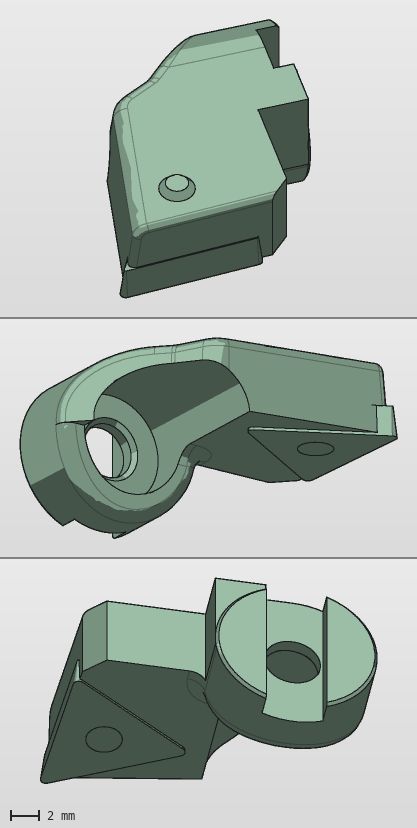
import cadquery as cq
import math


HUB_R = 5.7
BORE_R = 1.97
BORE_CHAMFER = 0.33
POCKET_R = 4.0
POCKET_FLOOR_Y = -2.9
BACK_CHAMFER = 0.2
SLOT_W = 4.26
SLOT_DEPTH = 1.65

LOWER_FRONT_Y = -5.63
LOWER_FRONT_ARC_R = 16.15
JUNCTION_ROUND = 1.25

ARM_TOP_Z = HUB_R
ARM_BACK_Y = -3.83
ARM_END_X = 14.08
ARM_END_LEAN = 2.9
ARM_CORNER_CUT = 1.45
DRAFT = 7.0
RIM_ROUND = 1.0
END_ROUND = 0.45

HUB_WALL_POINT = (-5.38, -5.42)
NECK_START = (-0.19, -10.65)
NECK_END = (1.43, -13.77)
ARM_WALL_ANGLE = 9.8
NECK_INNER_ROUND = 0.83
NECK_OUTER_ROUND = 2.07

INSERT_CENTER = (11.6, -11.35)
INSERT_INSCRIBED_R = 3.17
INSERT_CORNER_R = 0.4
INSERT_BOTTOM_Z = -0.23
INSERT_TOP_Z = 2.11
INSERT_RELIEF = 7.0
INSERT_TIP_ANGLE = -57.1

SCREW_CENTER = (11.4, -11.36)
SCREW_R = 1.26
SCREW_TIP_R = 0.8
SCREW_TIP_Z = 6.23

FAR = 24.85
OVERRUN = 0.2


def tan_deg(angle):
    return math.tan(math.radians(angle))


def nearest(x, y, z):
    """Selects the edge whose middle is closest to a point."""
    return cq.selectors.NearestToPointSelector((x, y, z))


def cylinder_y(radius, y_front, y_back):
    """Cylinder on the hub axis between two Y positions."""
    disc = cq.Workplane("XZ", origin=(0, y_back, 0)).circle(radius)
    return disc.extrude(y_back - y_front)


def box_between(low, high):
    """Axis-aligned box from its two opposite corners."""
    size = [b - a for a, b in zip(low, high)]
    return cq.Workplane("XY").box(*size, centered=False).translate(low)


def arm_plan():
    """Outline of the arm from above, running past the front walls that trim it later."""
    cut_y = ARM_BACK_Y - ARM_CORNER_CUT
    far_end_x = ARM_END_X + (cut_y + FAR) * tan_deg(ARM_END_LEAN)
    points = [
        (0, 0),
        (HUB_R, 0),
        (HUB_R, ARM_BACK_Y),
        (ARM_END_X - ARM_CORNER_CUT, ARM_BACK_Y),
        (ARM_END_X, cut_y),
        (far_end_x, -FAR),
        (0, -FAR),
    ]
    return cq.Workplane("XY").polyline(points).close()


def front_wall_mask():
    """Drafted solid whose front sides are the front walls of hub, neck and arm."""
    left_x = HUB_WALL_POINT[0] - FAR
    right_x = NECK_END[0] + FAR
    hub_slope = (NECK_START[1] - HUB_WALL_POINT[1]) / (NECK_START[0] - HUB_WALL_POINT[0])
    points = [
        (left_x, HUB_WALL_POINT[1] - hub_slope * FAR),
        NECK_START,
        NECK_END,
        (right_x, NECK_END[1] - FAR * tan_deg(ARM_WALL_ANGLE)),
        (right_x, 2 * FAR),
        (left_x, 2 * FAR),
    ]
    height = ARM_TOP_Z + OVERRUN
    base = cq.Workplane("XY").polyline(points).close()
    crown = base.offset2D(-height * tan_deg(DRAFT), "intersection")
    wires = [base.val(), crown.val().translate((0, 0, height))]
    mask = cq.Workplane(cq.Solid.makeLoft(wires, True))
    mask = mask.edges(nearest(*NECK_START, ARM_TOP_Z / 2)).fillet(NECK_INNER_ROUND)
    return mask.edges(nearest(*NECK_END, ARM_TOP_Z / 2)).fillet(NECK_OUTER_ROUND)


def upper_body():
    """Arm and upper left quarter of the hub, everything above Z = 0."""
    quarter = box_between((-HUB_R, -FAR, 0), (0, 0, HUB_R))
    upper = cylinder_y(HUB_R, -FAR, 0).intersect(quarter)
    upper = upper.union(arm_plan().extrude(ARM_TOP_Z)).intersect(front_wall_mask())

    wall_middle_x = (NECK_END[0] + ARM_END_X) / 2
    upper = upper.edges(nearest(wall_middle_x, NECK_END[1], ARM_TOP_Z)).fillet(RIM_ROUND)

    end_middle_y = (ARM_BACK_Y + NECK_END[1]) / 2
    return upper.edges(nearest(ARM_END_X, end_middle_y, ARM_TOP_Z)).fillet(END_ROUND)


def lower_body():
    """Half cylinder below Z = 0, its front face curving back towards the bottom."""
    below = box_between((-FAR, -FAR, -FAR), (FAR, FAR, 0))
    half = cylinder_y(HUB_R, -FAR, 0).intersect(below)
    front_arc = (
        cq.Workplane("YZ", origin=(-FAR, 0, 0))
        .center(LOWER_FRONT_Y + LOWER_FRONT_ARC_R, 0)
        .circle(LOWER_FRONT_ARC_R)
        .extrude(2 * FAR)
    )
    half = half.intersect(front_arc)
    return half.edges(nearest(0, LOWER_FRONT_Y, -HUB_R)).fillet(RIM_ROUND)


def junction_flare(lower):
    """Concave round where the lower half of the hub runs into the underside of the arm."""
    slab = box_between((-FAR, -FAR, 0), (FAR, FAR, JUNCTION_ROUND))
    flare = lower.union(slab)
    flare = flare.edges(nearest(HUB_R, LOWER_FRONT_Y / 2, 0)).fillet(JUNCTION_ROUND)
    return flare.intersect(arm_plan().extrude(-JUNCTION_ROUND - OVERRUN))


def back_edge_mask():
    """Wide solid that ends in a chamfered disc at the back face of the hub."""
    front = cylinder_y(FAR, -FAR, -BACK_CHAMFER)
    back = cylinder_y(HUB_R, -2 * BACK_CHAMFER, 0)
    return front.union(back.faces(">Y").chamfer(BACK_CHAMFER))


def hub_cuts():
    """Front pocket, bore with chamfered mouth, and the slot across the back face."""
    pocket = cylinder_y(POCKET_R, -FAR, POCKET_FLOOR_Y)
    bore = cylinder_y(BORE_R, -FAR, FAR)
    mouth = (
        cq.Workplane("XZ", origin=(0, POCKET_FLOOR_Y, 0))
        .circle(BORE_R + BORE_CHAMFER)
        .workplane(offset=-BORE_CHAMFER)
        .circle(BORE_R)
        .loft()
    )
    slot = box_between((-SLOT_W / 2, -SLOT_DEPTH, -FAR), (SLOT_W / 2, FAR, FAR))
    return pocket.union(bore).union(mouth).union(slot)


def make_screw():
    """Shank from the underside of the insert up to a conical tip above the arm."""
    shank = cq.Workplane("XY", origin=(*SCREW_CENTER, INSERT_BOTTOM_Z)).circle(SCREW_R)
    shank = shank.extrude(SCREW_TIP_Z - INSERT_BOTTOM_Z)
    return shank.faces(">Z").chamfer(SCREW_TIP_Z - ARM_TOP_Z, SCREW_R - SCREW_TIP_R)


def insert_blank():
    """Rounded triangle without its hole, leaning in from the cutting face at the bottom."""
    corner_circle_r = 2 * (INSERT_INSCRIBED_R - INSERT_CORNER_R)
    corners = []
    for turn in (0, 120, 240):
        angle = math.radians(INSERT_TIP_ANGLE + turn)
        corners.append((corner_circle_r * math.cos(angle), corner_circle_r * math.sin(angle)))
    outline = cq.Workplane("XY").polyline(corners).close().offset2D(INSERT_CORNER_R, "arc")
    blank = outline.extrude(INSERT_TOP_Z - INSERT_BOTTOM_Z, taper=INSERT_RELIEF)
    return blank.translate((*INSERT_CENTER, INSERT_BOTTOM_Z))


def make_holder():
    """Hub and arm, with matching recesses for the insert and the screw."""
    lower = lower_body()
    solid = upper_body().union(lower).union(junction_flare(lower))
    solid = solid.intersect(back_edge_mask()).cut(hub_cuts())
    return solid.cut(insert_blank()).cut(make_screw())


holder = make_holder()
screw = make_screw()
insert = insert_blank().cut(screw)

result = cq.Compound.makeCompound([holder.solids().val(), insert.solids().val(), screw.solids().val()])